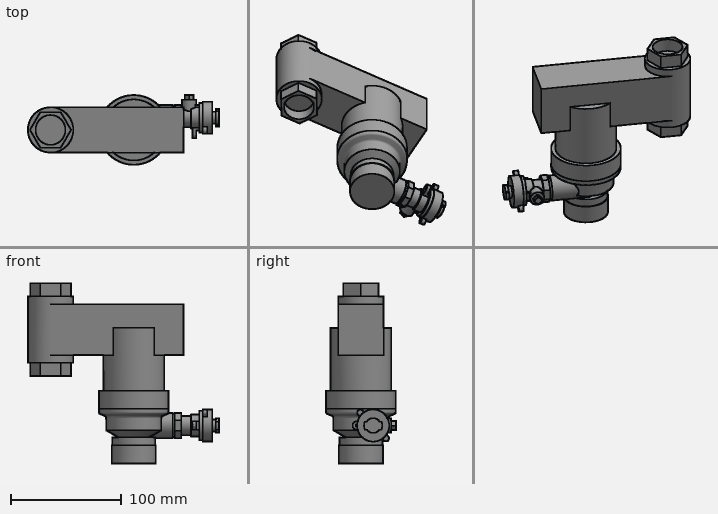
import cadquery as cq
import math


sleeve_x = -75.0
sleeve_diameter = 41.0
sleeve_length = 60.0
sleeve_mid_z = 120.8
hex_sides = 6
hex_across_flats = 32.0
hex_height = 12.0
pipe_socket_diameter = 26.9
pipe_socket_depth = 12.0

arm_end_x = 45.0
arm_height = 46.0

column_diameter = 55.0
column_top_z = 122.3
collar_diameter = 63.0
collar_top_z = 65.8
collar_bottom_z = 49.6

shoulder_top_z = 45.2
shoulder_bottom_z = 42.6
shoulder_round = 2.0
waist_diameter = 50.0
waist_bottom_z = 30.1
cone_angle = 30.0
outlet_top_z = 23.7
outlet_neck_diameter = 39.0
outlet_diameter = 40.0
outlet_step_z = 16.4

branch_y = 11.0
branch_z = 34.4
branch_diameter = 23.0
branch_end_x = 35.0

thread_diameter = 21.3
thread_end_x = 37.1
nut_sides = 8
nut_across_flats = 23.0
nut_end_x = 42.9
barrel_diameter = 17.6
barrel_end_x = 51.2
taper_length = 0.5
coupling_diameter = 20.0
coupling_end_x = 59.0
flange_diameter = 26.9
flange_end_x = 62.0
cap_diameter = 29.0
cap_end_x = 70.9
knob_neck_diameter = 11.0
knob_neck_end_x = 74.0
knob_diameter = 13.5
knob_end_x = 77.0

bonnet_x = 49.9
bonnet_diameter = 13.0
bonnet_length = 16.3
spindle_side = 5.8
spindle_end = 20.6

bar_width = 7.5
bar_start_x = 52.8
bar_half_length = 11.6
finger_end_x = 56.5
finger_reach = 18.6
finger_hole_diameter = 2.0

lug_radius = 2.85
lug_centre_radius = 16.3
lug_end_x = 66.3
lug_angles = (135, 315)

ear_diameter = 16.5
ear_width = 7.2


def upright_cylinder(diameter, bottom_z, top_z, x=0.0):
    return (
        cq.Workplane("XY", origin=(x, 0, bottom_z))
        .circle(diameter / 2)
        .extrude(top_z - bottom_z)
    )


def valve_plane(x):
    """Plane across the valve axis: local X is +Y and local Y is +Z."""
    return cq.Workplane("YZ", origin=(x, branch_y, branch_z))


def valve_cylinder(diameter, start_x, end_x):
    return valve_plane(start_x).circle(diameter / 2).extrude(end_x - start_x)


def turned_about_valve(shape, angle):
    return shape.rotate((0, branch_y, branch_z), (1, branch_y, branch_z), angle)


def make_sleeve():
    total_length = sleeve_length + 2 * hex_height
    bottom_z = sleeve_mid_z - total_length / 2
    top_z = sleeve_mid_z + total_length / 2
    across_corners = hex_across_flats / math.cos(math.pi / hex_sides)
    hex_bar = (
        cq.Workplane("XY", origin=(sleeve_x, 0, bottom_z))
        .polygon(hex_sides, across_corners)
        .extrude(total_length)
    )
    tube = upright_cylinder(
        sleeve_diameter, bottom_z + hex_height, top_z - hex_height, sleeve_x
    )
    return hex_bar.union(tube)


def make_pipe_sockets():
    half_length = sleeve_length / 2 + hex_height
    bottom_z = sleeve_mid_z - half_length
    top_z = sleeve_mid_z + half_length
    upper = upright_cylinder(pipe_socket_diameter, top_z - pipe_socket_depth, top_z, sleeve_x)
    lower = upright_cylinder(pipe_socket_diameter, bottom_z, bottom_z + pipe_socket_depth, sleeve_x)
    return upper.union(lower)


def make_arm():
    arm_length = arm_end_x - sleeve_x
    return (
        cq.Workplane("XY", origin=(sleeve_x + arm_length / 2, 0, sleeve_mid_z))
        .box(arm_length, sleeve_diameter, arm_height)
    )


def make_housing():
    column = upright_cylinder(column_diameter, collar_bottom_z, column_top_z)
    collar = upright_cylinder(collar_diameter, collar_bottom_z, collar_top_z)
    body = make_sleeve().union(make_arm()).union(column).union(collar)
    return body.cut(make_pipe_sockets())


def make_bowl_core():
    collar_radius = collar_diameter / 2
    waist_radius = waist_diameter / 2
    cone_drop = waist_bottom_z - outlet_top_z
    cone_foot_radius = waist_radius - cone_drop / math.tan(math.radians(cone_angle))
    profile = (
        cq.Workplane("XZ")
        .moveTo(0, 0)
        .lineTo(outlet_diameter / 2, 0)
        .lineTo(outlet_diameter / 2, outlet_step_z)
        .lineTo(outlet_neck_diameter / 2, outlet_step_z)
        .lineTo(outlet_neck_diameter / 2, outlet_top_z)
        .lineTo(cone_foot_radius, outlet_top_z)
        .lineTo(waist_radius, waist_bottom_z)
        .lineTo(waist_radius, shoulder_bottom_z)
        .lineTo(collar_radius, shoulder_top_z)
        .lineTo(collar_radius, collar_bottom_z)
        .lineTo(0, collar_bottom_z)
        .close()
    )
    core = profile.revolve(360, (0, 0, 0), (0, 1, 0))
    shoulder_edges = cq.selectors.BoxSelector(
        (-collar_diameter, -collar_diameter, shoulder_bottom_z - shoulder_round / 2),
        (collar_diameter, collar_diameter, shoulder_top_z + shoulder_round / 2),
        boundingbox=True,
    )
    return core.edges("%CIRCLE").edges(shoulder_edges).fillet(shoulder_round)


def make_bowl():
    branch = valve_cylinder(branch_diameter, 0, branch_end_x)
    return make_bowl_core().union(branch)


def make_nut():
    half_sector = 180 / nut_sides
    across_corners = nut_across_flats / math.cos(math.radians(half_sector))
    nut = valve_plane(thread_end_x).polygon(nut_sides, across_corners).extrude(nut_end_x - thread_end_x)
    return turned_about_valve(nut, half_sector)


def make_bonnet():
    base = cq.Workplane("XZ", origin=(bonnet_x, branch_y, branch_z))
    bonnet = base.circle(bonnet_diameter / 2).extrude(-bonnet_length)
    spindle = base.polygon(4, spindle_side * math.sqrt(2)).extrude(-spindle_end)
    return bonnet.union(spindle)


def make_coupling_bar():
    bar = (
        valve_plane(bar_start_x)
        .rect(2 * bar_half_length, bar_width)
        .extrude(coupling_end_x - bar_start_x)
    )
    tip_centre = finger_reach - bar_width / 2
    finger = (
        valve_plane(bar_start_x)
        .moveTo(0, bar_width / 2)
        .lineTo(-tip_centre, bar_width / 2)
        .threePointArc((-finger_reach, 0), (-tip_centre, -bar_width / 2))
        .lineTo(0, -bar_width / 2)
        .close()
        .extrude(finger_end_x - bar_start_x)
    )
    hole = (
        valve_plane(bar_start_x)
        .center(-tip_centre, 0)
        .circle(finger_hole_diameter / 2)
        .extrude(finger_end_x - bar_start_x)
    )
    return bar.union(finger).cut(hole)


def make_coupling_taper():
    return (
        valve_plane(barrel_end_x)
        .circle(barrel_diameter / 2)
        .workplane(offset=taper_length)
        .circle(coupling_diameter / 2)
        .loft(ruled=True)
    )


def make_cap_lug(angle):
    lug = (
        valve_plane(flange_end_x)
        .moveTo(0, lug_radius)
        .lineTo(lug_centre_radius, lug_radius)
        .threePointArc(
            (lug_centre_radius + lug_radius, 0), (lug_centre_radius, -lug_radius)
        )
        .lineTo(0, -lug_radius)
        .close()
        .extrude(lug_end_x - flange_end_x)
    )
    return turned_about_valve(lug, angle)


def make_knob():
    disc = valve_cylinder(knob_diameter, knob_neck_end_x, knob_end_x)
    ear_strip = (
        valve_plane(knob_neck_end_x)
        .rect(ear_diameter, ear_width)
        .extrude(knob_end_x - knob_neck_end_x)
    )
    ears = valve_cylinder(ear_diameter, knob_neck_end_x, knob_end_x).intersect(ear_strip)
    return disc.union(ears)


def make_drain_valve():
    round_sections = (
        (barrel_diameter, thread_end_x, barrel_end_x),
        (coupling_diameter, barrel_end_x + taper_length, coupling_end_x),
        (flange_diameter, coupling_end_x, flange_end_x),
        (cap_diameter, flange_end_x, cap_end_x),
        (knob_neck_diameter, cap_end_x, knob_neck_end_x),
    )
    valve = valve_cylinder(thread_diameter, branch_end_x, thread_end_x).union(make_nut())
    for diameter, start_x, end_x in round_sections:
        valve = valve.union(valve_cylinder(diameter, start_x, end_x))
    valve = valve.union(make_coupling_taper()).union(make_bonnet()).union(make_coupling_bar())
    valve = valve.union(make_knob())
    for angle in lug_angles:
        valve = valve.union(make_cap_lug(angle))
    return valve


housing = make_housing()
bowl = make_bowl()
drain_valve = make_drain_valve()

result = cq.Compound.makeCompound([housing.val(), bowl.val(), drain_valve.val()])